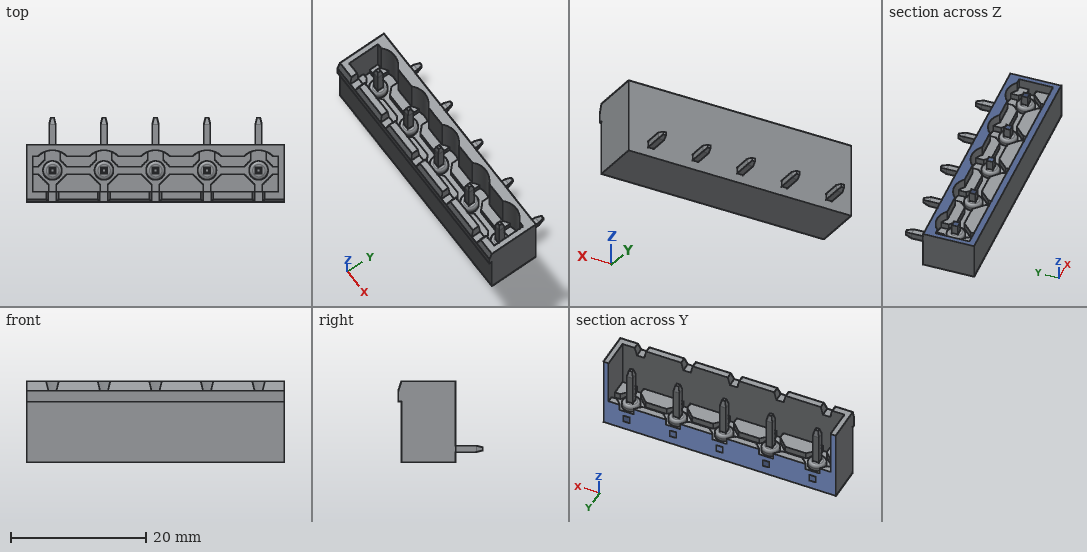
import cadquery as cq

pin_count = 5
pitch = 7.62
pin_positions = [(i - (pin_count - 1) / 2) * pitch for i in range(pin_count)]

length = pin_count * pitch
height = 12.0
depth = 8.5
rear_y = pitch / 2
lip_y = rear_y - depth
lip_overhang = 0.45
front_y = lip_y + lip_overhang
lip_height = 3.0
lip_slope_height = 1.37

end_wall = 0.87
front_wall = 1.52
rear_wall = 1.72
cavity_front_y = lip_y + front_wall
cavity_rear_y = rear_y - rear_wall
scallop_radius = 2.98
block_top_z = 4.5
channel_floor_z = 3.5

cross_half_width = 0.57
rear_half_width = 1.15
front_half_width = 0.55
corner_reach = 2.68

boss_diameter = 2.8
boss_height = 1.0
boss_round = 0.48

notch_bottom_width = 1.18
notch_top_width = 1.88

pin_size = 1.0
pin_tip_size = 0.5
pin_tip_length = 1.0
pin_top_z = 10.5
tail_z = 2.0
tail_length = 4.0
tail_end_y = rear_y + tail_length


def block(x_size, y_min, y_max, z_min, z_max):
    """Box centred on X, between the given Y and Z limits."""
    return (
        cq.Workplane("XY", origin=(0, 0, z_min))
        .rect(x_size, y_max - y_min)
        .extrude(z_max - z_min)
        .translate((0, (y_min + y_max) / 2, 0))
    )


def shell_block():
    """Solid housing profile with the sloped lip along its front edge."""
    profile = [
        (rear_y, 0),
        (rear_y, height),
        (front_y, height),
        (lip_y, height - lip_slope_height),
        (lip_y, height - lip_height),
        (front_y, height - lip_height),
        (front_y, 0),
    ]
    return cq.Workplane("YZ").polyline(profile).close().extrude(length / 2, both=True)


def cavity(z_min):
    """Open-topped cavity with a round scallop in the rear wall behind each pin."""
    scallops = (
        cq.Workplane("XY", origin=(0, 0, z_min))
        .pushPoints([(x, 0) for x in pin_positions])
        .circle(scallop_radius)
        .extrude(height - z_min)
    )
    behind_pins = block(length - 2 * end_wall, 0, rear_y, z_min, height)
    main = block(length - 2 * end_wall, cavity_front_y, cavity_rear_y, z_min, height)
    return main.union(scallops.intersect(behind_pins))


def channels(x):
    """Channels crossing at one pin, widened by 45 degree corners."""
    half_pitch = pitch / 2
    cross_x = corner_reach - cross_half_width
    points = [
        (half_pitch, cross_half_width),
        (cross_x, cross_half_width),
        (rear_half_width, corner_reach - rear_half_width),
        (rear_half_width, rear_y),
        (-rear_half_width, rear_y),
        (-rear_half_width, corner_reach - rear_half_width),
        (-cross_x, cross_half_width),
        (-half_pitch, cross_half_width),
        (-half_pitch, -cross_half_width),
        (-cross_x, -cross_half_width),
        (-front_half_width, front_half_width - corner_reach),
        (-front_half_width, cavity_front_y),
        (front_half_width, cavity_front_y),
        (front_half_width, front_half_width - corner_reach),
        (cross_x, -cross_half_width),
        (half_pitch, -cross_half_width),
    ]
    outline = cq.Workplane("XY", origin=(x, 0, channel_floor_z)).polyline(points).close()
    return outline.extrude(block_top_z - channel_floor_z)


def boss(x):
    """Round-edged boss on the channel floor, where a pin comes out."""
    plug = cq.Workplane("XY", origin=(x, 0, channel_floor_z)).circle(boss_diameter / 2)
    return plug.extrude(boss_height).faces(">Z").edges().fillet(boss_round)


def notch(x):
    """Notch through the front wall, narrowing downward."""
    bottom_z = height - lip_slope_height
    points = [
        (x - notch_bottom_width / 2, bottom_z),
        (x + notch_bottom_width / 2, bottom_z),
        (x + notch_top_width / 2, height),
        (x - notch_top_width / 2, height),
    ]
    return cq.Workplane("XZ", origin=(0, cavity_front_y, 0)).polyline(points).close().extrude(front_wall)


def tapered_tip(plane):
    """Pyramid-shaped pin end, growing along the normal of the plane."""
    return (
        cq.Workplane(plane)
        .rect(pin_size, pin_size)
        .workplane(offset=pin_tip_length)
        .rect(pin_tip_size, pin_tip_size)
        .loft()
    )


def make_pin(x):
    """Square pin bent to a right angle, with both ends tapered."""
    half = pin_size / 2
    upright_end_z = pin_top_z - pin_tip_length
    tail_shank_y = tail_end_y - pin_tip_length
    upright = block(pin_size, -half, half, tail_z - half, upright_end_z)
    tail = block(pin_size, -half, tail_shank_y, tail_z - half, tail_z + half)
    top_tip = tapered_tip(cq.Plane(origin=(0, 0, upright_end_z), normal=(0, 0, 1)))
    tail_tip = tapered_tip(cq.Plane(origin=(0, tail_shank_y, tail_z), xDir=(1, 0, 0), normal=(0, 1, 0)))
    return upright.union(tail).union(top_tip).union(tail_tip).translate((x, 0, 0))


def make_housing(pins):
    """Housing with its cavity, channels, bosses, notches and pin holes."""
    body = shell_block().cut(cavity(block_top_z))
    reachable = cavity(channel_floor_z)
    for x in pin_positions:
        body = body.cut(channels(x).intersect(reachable))
        body = body.union(boss(x))
        body = body.cut(notch(x))
    for pin in pins:
        body = body.cut(pin)
    return body


pins = [make_pin(x) for x in pin_positions]
housing = make_housing(pins)

result = cq.Compound.makeCompound([housing.val(), *[pin.val() for pin in pins]])